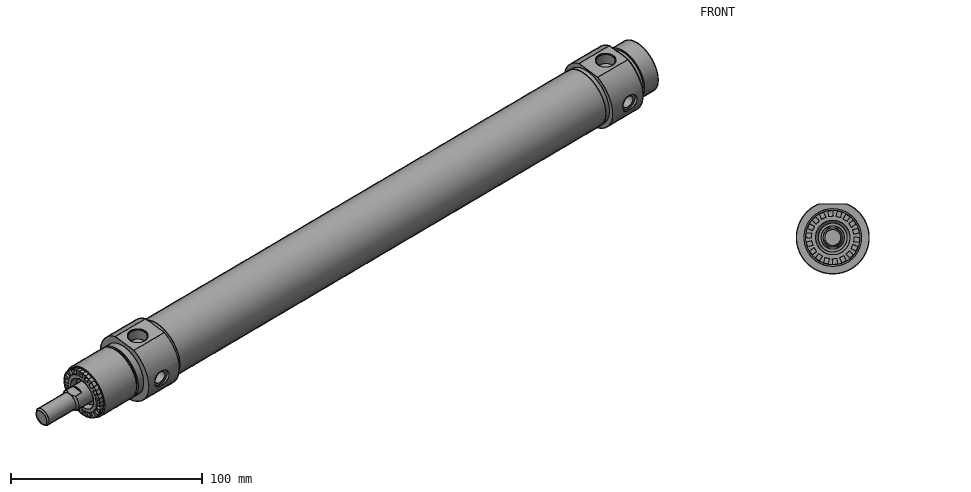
import cadquery as cq
import math


TOTAL_LENGTH = 418.0
NECK_Y = 19.5
CAP_FACE_Y = 28.5
FRONT_HEAD_Y = 58.0
HEAD_LENGTH = 21.5
COLLAR_LENGTH = 2.5
REAR_SPIGOT_LENGTH = 14.2
FRONT_TUBE_Y = FRONT_HEAD_Y + HEAD_LENGTH + COLLAR_LENGTH
REAR_HEAD_Y = TOTAL_LENGTH - REAR_SPIGOT_LENGTH - HEAD_LENGTH
REAR_TUBE_Y = REAR_HEAD_Y - COLLAR_LENGTH

TUBE_DIAMETER = 33.5
HEAD_DIAMETER = 38.0
HEAD_FLAT_HEIGHT = 17.5
COLLAR_DIAMETER = 33.0
SPIGOT_DIAMETER = 30.0
GROOVE_DIAMETER = 28.0
REAR_GROOVE_START = 9.5
REAR_GROOVE_WIDTH = 2.5
FRONT_GROOVE_START = 3.8
FRONT_GROOVE_WIDTH = 1.3
NOSE_LENGTH = 2.5
NOSE_DIAMETER = 28.5

RECESS_DIAMETER = 18.0
RECESS_FLOOR_DIAMETER = 15.0
RECESS_DEPTH = 2.5
SLOT_COUNT = 18
SLOT_INNER_DIAMETER = 22.0
SLOT_OUTER_DIAMETER = 28.0
SLOT_WIDTH = 2.5
SLOT_PHASE = 0.25
SLOT_DEPTH = 2.5

PORT_OFFSET = 9.0
PORT_MOUTH_DIAMETER = 11.0
PORT_DIAMETER = 10.0
PORT_CHAMFER = (PORT_MOUTH_DIAMETER - PORT_DIAMETER) / 2
PORT_DEPTH = 6.5
DRILL_TIP_ANGLE = 118.0
AIR_PASSAGE_DIAMETER = 3.0
AIR_PASSAGE_DEPTH = 11.0

COUNTERBORE_DIAMETER = 10.0
SIDE_HOLE_DIAMETER = 7.0
COUNTERBORE_DEPTH = 1.5
SIDE_HOLE_DEPTH = 6.3

ROD_DIAMETER = 12.0
THREAD_DIAMETER = 10.0
THREAD_TIP_DIAMETER = 8.5
THREAD_CHAMFER = (THREAD_DIAMETER - THREAD_TIP_DIAMETER) / 2
NECK_CHAMFER = (ROD_DIAMETER - THREAD_DIAMETER) / 2
FLATS_WIDTH = 10.0
FLATS_START_Y = NECK_Y
FLATS_LENGTH = 5.5


def turned(profile):
    """Solid of revolution about Y from (radius, y) points that start and end on the axis."""
    return cq.Workplane("XY").polyline(profile).close().revolve(360, (0, 0, 0), (0, 1, 0))


def disc(diameter, start, end):
    """Cylinder on the Y axis between two stations."""
    return turned([(0, start), (diameter / 2, start), (diameter / 2, end), (0, end)])


def groove(start, width):
    """Ring that cuts a groove into a spigot."""
    return disc(SPIGOT_DIAMETER, start, start + width).cut(disc(GROOVE_DIAMETER, start, start + width))


def port_drill(port_y):
    """Tool for an air port: chamfered mouth, straight wall and conical drill tip."""
    tip_depth = PORT_DIAMETER / 2 / math.tan(math.radians(DRILL_TIP_ANGLE / 2))
    profile = [
        (0, 0),
        (PORT_MOUTH_DIAMETER / 2, 0),
        (PORT_DIAMETER / 2, -PORT_CHAMFER),
        (PORT_DIAMETER / 2, -PORT_DEPTH),
        (0, -PORT_DEPTH - tip_depth),
    ]
    drill = cq.Workplane("XZ").polyline(profile).close().revolve(360, (0, 0, 0), (0, 1, 0))
    return drill.translate((0, port_y, HEAD_FLAT_HEIGHT))


def side_drill(side, port_y):
    """Tool for a counterbored flat-bottomed hole; side is -1 or +1 along X."""
    surface = HEAD_DIAMETER / 2
    profile = [
        (side * surface, 0),
        (side * surface, COUNTERBORE_DIAMETER / 2),
        (side * (surface - COUNTERBORE_DEPTH), COUNTERBORE_DIAMETER / 2),
        (side * (surface - COUNTERBORE_DEPTH), SIDE_HOLE_DIAMETER / 2),
        (side * (surface - SIDE_HOLE_DEPTH), SIDE_HOLE_DIAMETER / 2),
        (side * (surface - SIDE_HOLE_DEPTH), 0),
    ]
    drill = cq.Workplane("XY").polyline(profile).close().revolve(360, (0, 0, 0), (1, 0, 0))
    return drill.translate((0, port_y, 0))


def head(start, port_y):
    """Head of a cap: a disc with a flat on top, an air port in the flat and a hole in each side."""
    body = disc(HEAD_DIAMETER, start, start + HEAD_LENGTH)
    above_flat = cq.Workplane("XY").box(
        HEAD_DIAMETER, HEAD_LENGTH, HEAD_DIAMETER, centered=(True, False, False)
    )
    body = body.cut(above_flat.translate((0, start, HEAD_FLAT_HEIGHT)))
    body = body.cut(port_drill(port_y))
    for side in (-1, 1):
        body = body.cut(side_drill(side, port_y))
    return body


def face_slots():
    """Ring of radial slots sunk into the front face of the front cap."""
    slot_length = (SLOT_OUTER_DIAMETER - SLOT_INNER_DIAMETER) / 2
    slot = cq.Workplane("XY").box(
        slot_length, SLOT_DEPTH, SLOT_WIDTH, centered=(False, False, True)
    ).translate((SLOT_INNER_DIAMETER / 2, CAP_FACE_Y, 0))
    slots = []
    for index in range(SLOT_COUNT):
        angle = (index + SLOT_PHASE) * 360 / SLOT_COUNT
        slots.append(slot.rotate((0, 0, 0), (0, 1, 0), angle).val())
    return cq.Compound.makeCompound(slots)


def make_rear_cap():
    rear_face = TOTAL_LENGTH
    cap = head(REAR_HEAD_Y, REAR_HEAD_Y + HEAD_LENGTH - PORT_OFFSET)
    cap = cap.union(disc(COLLAR_DIAMETER, REAR_TUBE_Y, REAR_HEAD_Y))
    cap = cap.union(disc(SPIGOT_DIAMETER, REAR_HEAD_Y + HEAD_LENGTH, rear_face))
    return cap.cut(groove(rear_face - REAR_GROOVE_START - REAR_GROOVE_WIDTH, REAR_GROOVE_WIDTH))


def make_front_cap():
    port_y = FRONT_HEAD_Y + PORT_OFFSET
    cap = head(FRONT_HEAD_Y, port_y)
    cap = cap.union(disc(COLLAR_DIAMETER, FRONT_HEAD_Y + HEAD_LENGTH, FRONT_TUBE_Y))
    cap = cap.union(disc(SPIGOT_DIAMETER, CAP_FACE_Y + NOSE_LENGTH, FRONT_HEAD_Y))
    cap = cap.union(disc(NOSE_DIAMETER, CAP_FACE_Y, CAP_FACE_Y + NOSE_LENGTH))
    cap = cap.cut(groove(FRONT_HEAD_Y - FRONT_GROOVE_START - FRONT_GROOVE_WIDTH, FRONT_GROOVE_WIDTH))
    cap = cap.cut(face_slots())

    floor_y = CAP_FACE_Y + RECESS_DEPTH
    cap = cap.cut(turned([
        (0, CAP_FACE_Y),
        (RECESS_DIAMETER / 2, CAP_FACE_Y),
        (RECESS_FLOOR_DIAMETER / 2, floor_y),
        (0, floor_y),
    ]))
    cap = cap.cut(disc(ROD_DIAMETER, CAP_FACE_Y, FRONT_TUBE_Y))

    passage = cq.Workplane("XY").circle(AIR_PASSAGE_DIAMETER / 2).extrude(-AIR_PASSAGE_DEPTH)
    return cap.cut(passage.translate((0, port_y, HEAD_FLAT_HEIGHT)))


def make_tube():
    return disc(TUBE_DIAMETER, FRONT_TUBE_Y, REAR_TUBE_Y)


def make_rod():
    rod = turned([
        (0, 0),
        (THREAD_TIP_DIAMETER / 2, 0),
        (THREAD_DIAMETER / 2, THREAD_CHAMFER),
        (THREAD_DIAMETER / 2, NECK_Y),
        (ROD_DIAMETER / 2, NECK_Y + NECK_CHAMFER),
        (ROD_DIAMETER / 2, FRONT_TUBE_Y),
        (0, FRONT_TUBE_Y),
    ])
    outside_flats = cq.Workplane("XY").box(
        ROD_DIAMETER, FLATS_LENGTH, ROD_DIAMETER, centered=(True, False, True)
    ).cut(cq.Workplane("XY").box(
        ROD_DIAMETER, FLATS_LENGTH, FLATS_WIDTH, centered=(True, False, True)
    ))
    return rod.cut(outside_flats.translate((0, FLATS_START_Y, 0)))


rear_cap = make_rear_cap()
front_cap = make_front_cap()
tube = make_tube()
rod = make_rod()

result = cq.Compound.makeCompound([rear_cap.val(), front_cap.val(), tube.val(), rod.val()])